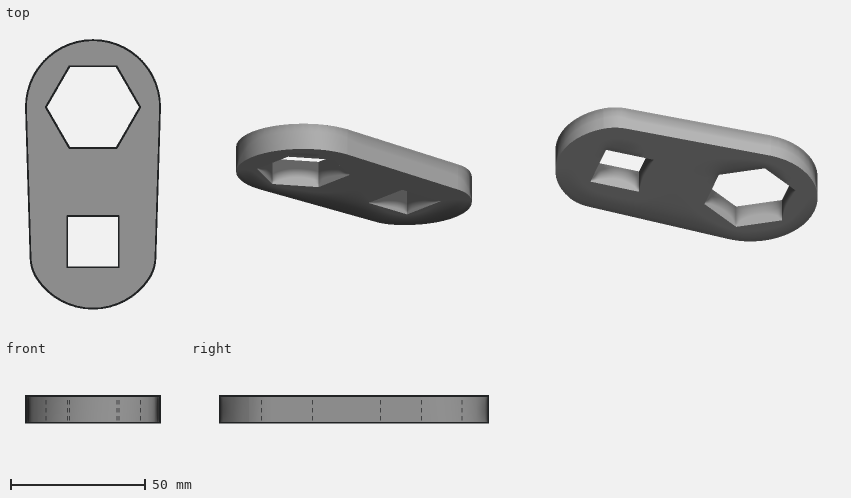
import cadquery as cq

length = 100.0
width = 50.0
thickness = 10.0
foot_width = 45.4
corner_radius = 15.0

hex_across_corners = 35.0
square_side = 19.0

end_radius = width / 2
end_offset = length / 2 - end_radius


def plate():
    """Round-ended plate whose sides taper from the upper end centre to the foot."""
    rounded = cq.Workplane("XY").slot2D(length, width, 90).extrude(thickness)
    taper = (
        cq.Workplane("XY")
        .moveTo(-width / 2, length / 2)
        .lineTo(width / 2, length / 2)
        .lineTo(width / 2, end_offset)
        .lineTo(foot_width / 2, -length / 2)
        .lineTo(-foot_width / 2, -length / 2)
        .lineTo(-width / 2, end_offset)
        .close()
        .extrude(thickness)
    )
    return rounded.intersect(taper).edges("|Z").edges("<Y").fillet(corner_radius)


def hex_hole():
    return (
        cq.Workplane("XY")
        .center(0, end_offset)
        .polygon(6, hex_across_corners)
        .extrude(thickness)
    )


def square_hole():
    return (
        cq.Workplane("XY")
        .center(0, -end_offset)
        .rect(square_side, square_side)
        .extrude(thickness)
    )


result = plate().cut(hex_hole()).cut(square_hole())